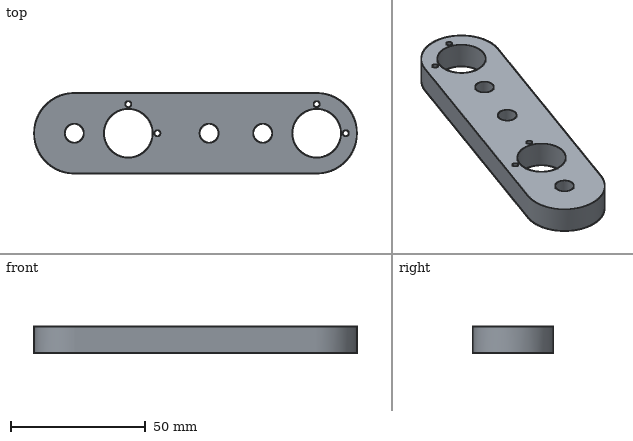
import cadquery as cq

length = 120.0
width = 30.0
thickness = 10.0
end_center_x = (length - width) / 2

bore_diameter = 18.0
bore_positions = [-25.0, end_center_x]
bolt_diameter = 7.0
bolt_positions = [-end_center_x, 5.0, 25.0]

pin_diameter = 2.2
pin_offset = 10.8


def drill(body, points, diameter):
    """Cut through holes of one diameter at the given points."""
    return body.faces(">Z").workplane(origin=(0, 0, 0)).pushPoints(points).hole(diameter)


bore_points = [(x, 0) for x in bore_positions]
bolt_points = [(x, 0) for x in bolt_positions]
pin_points = []
for x in bore_positions:
    pin_points.append((x + pin_offset, 0))
    pin_points.append((x, pin_offset))

bar = cq.Workplane("XY").slot2D(length, width).extrude(thickness)
bar = drill(bar, bore_points, bore_diameter)
bar = drill(bar, bolt_points, bolt_diameter)
result = drill(bar, pin_points, pin_diameter)